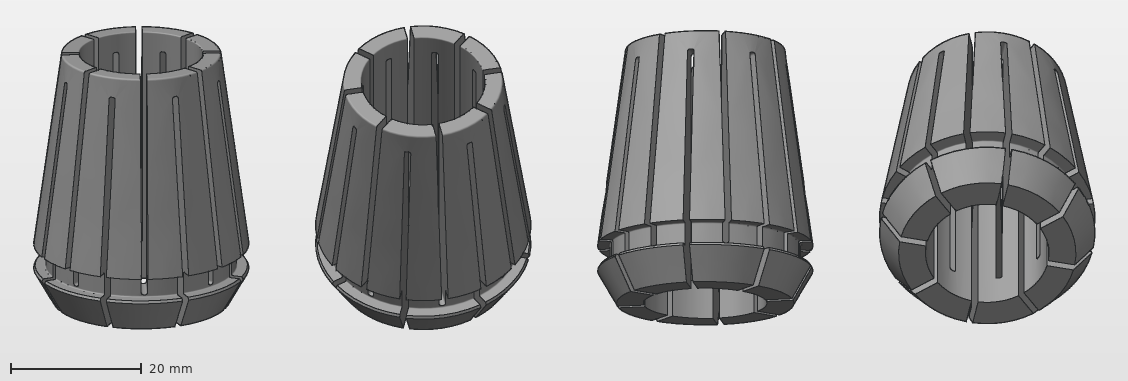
import cadquery as cq

height = 40.0
outer_diameter = 32.95
bore_diameter = 18.9
bore_fillet = 0.2

body_base_z = 9.1
body_top_diameter = 24.4
body_top_fillet = 0.3

collar_base_diameter = 27.1
collar_top_z = 5.5
rim_chamfer_height = 0.4
rim_chamfer_width = 0.25

groove_diameter = 29.2
groove_fillet = 0.2

slot_width = 1.0
slot_corner_radius = 0.4
slots_per_set = 8
slot_pitch = 360.0 / slots_per_set
lower_slot_top_z = 37.0
upper_slot_bottom_z = 5.9

smallest_circle = cq.selectors.RadiusNthSelector(0)
largest_circle = cq.selectors.RadiusNthSelector(-1)


def sleeve():
    """Tapered body and collar, joined by a full-width band, with a bored centre."""
    bore_radius = bore_diameter / 2
    outer_radius = outer_diameter / 2
    half_section = [
        (bore_radius, 0),
        (collar_base_diameter / 2, 0),
        (outer_radius, collar_top_z - rim_chamfer_height),
        (outer_radius - rim_chamfer_width, collar_top_z),
        (outer_radius, collar_top_z),
        (outer_radius, body_base_z),
        (body_top_diameter / 2, height),
        (bore_radius, height),
    ]
    solid = cq.Workplane("XZ").polyline(half_section).close().revolve(360, (0, 0), (0, 1))
    solid = solid.faces(">Z").edges(largest_circle).fillet(body_top_fillet)
    return solid.faces(">Z").edges(smallest_circle).fillet(bore_fillet)


def groove_cutter():
    """Ring that clears the groove and leaves fillets at its two root corners."""
    ring = (
        cq.Workplane("XY")
        .workplane(offset=collar_top_z)
        .circle(outer_diameter)
        .circle(groove_diameter / 2)
        .extrude(body_base_z - collar_top_z)
    )
    return ring.faces("|Z").edges(smallest_circle).fillet(groove_fillet)


def slot_cutter(bottom_z, top_z, closed_end, angle):
    """Radial blade cutting one wall, with rounded corners at its closed end."""
    reach = outer_diameter
    blade = cq.Workplane("XY").box(reach, slot_width, top_z - bottom_z, centered=(False, True, False))
    blade = blade.faces(closed_end).edges("|X").fillet(slot_corner_radius)
    return blade.translate((0, 0, bottom_z)).rotate((0, 0, 0), (0, 0, 1), angle)


result = sleeve().cut(groove_cutter())
for index in range(slots_per_set):
    lower_angle = index * slot_pitch
    upper_angle = lower_angle + slot_pitch / 2
    result = result.cut(slot_cutter(0, lower_slot_top_z, ">Z", lower_angle))
    result = result.cut(slot_cutter(upper_slot_bottom_z, height, "<Z", upper_angle))